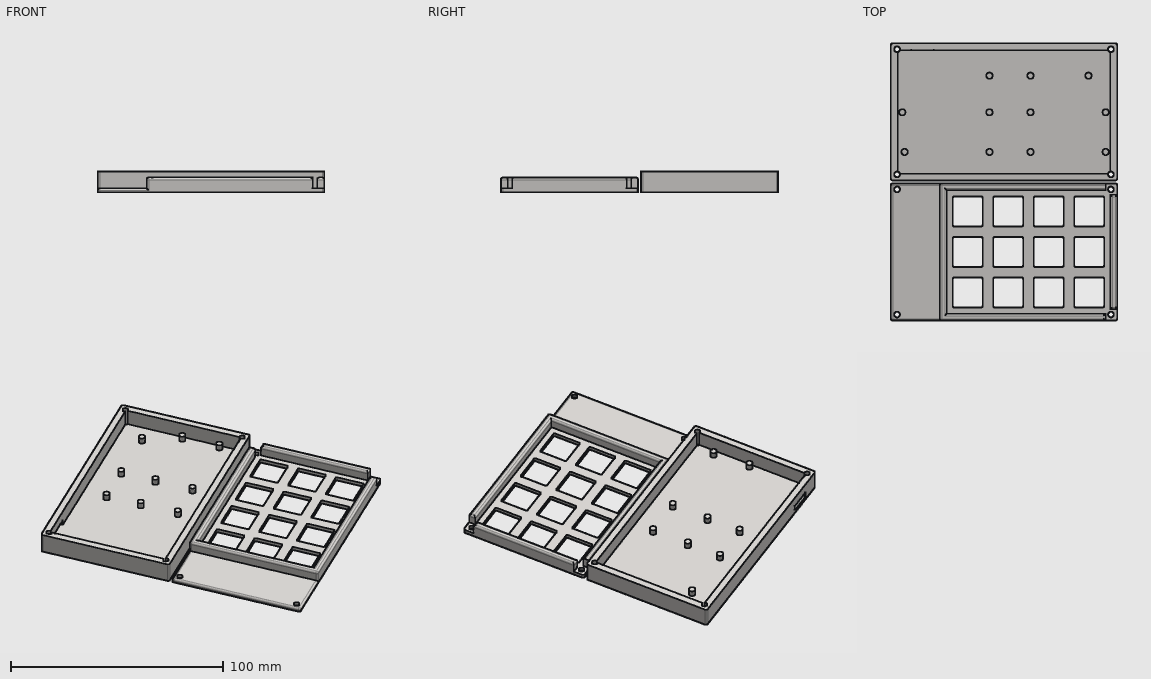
import cadquery as cq

LENGTH = 106.9
OVERALL_Y = 130.8
WIDTH = 64.8
CASE_Y = OVERALL_Y - WIDTH
EDGE_RADIUS = 1.0

END_WALL = 3.4
SIDE_WALL = 3.3

SCREW_DIAMETER = 2.6
SCREW_INSET_X = 3.0
SCREW_INSET_Y = 2.9

CASE_HEIGHT = 10.0
CASE_FLOOR = 2.0
PIN_DIAMETER = 3.0
PIN_HEIGHT = 3.0
PIN_ROW_BOTTOM = 13.5
PIN_ROW_MIDDLE = 32.2
PIN_ROW_TOP = 49.5
PIN_COLUMN_A = 46.6
PIN_COLUMN_B = 66.0
PIN_COLUMN_RIGHT = 101.4
PIN_TOP_RIGHT_X = 93.3
PIN_MIDDLE_LEFT_X = 5.5
PIN_BOTTOM_LEFT_X = 6.5

PORT_LEFT = 9.8
PORT_RIGHT = 20.3
PORT_HEIGHT = 2.6

PLATE_THICKNESS = 2 * EDGE_RADIUS
COVER_HEIGHT = 7.0
FRAME_LEFT = 23.0
NOTCH_X = 5.5
NOTCH_Y = 5.4

KEY_COLUMNS = 4
KEY_ROWS = 3
KEY_PITCH = 19.1
KEY_SIZE = 14.0
KEY_CORNER_RADIUS = 0.5


def block(x_min, x_max, y_min, y_max, z_min, z_max):
    """Box given by its limits along each axis."""
    size = (x_max - x_min, y_max - y_min, z_max - z_min)
    return cq.Workplane("XY").box(*size, centered=False).translate((x_min, y_min, z_min))


def screw_holes(height):
    """Cutters for the four corner screws of a body that starts at the origin."""
    corners = [
        (x, y)
        for x in (SCREW_INSET_X, LENGTH - SCREW_INSET_X)
        for y in (SCREW_INSET_Y, WIDTH - SCREW_INSET_Y)
    ]
    return cq.Workplane("XY").pushPoints(corners).circle(SCREW_DIAMETER / 2).extrude(height)


def make_case():
    """Open tray with support pins on its floor and a cable opening in its +Y wall."""
    case = block(0, LENGTH, 0, WIDTH, 0, CASE_HEIGHT).edges("|Z").fillet(EDGE_RADIUS)
    case = case.cut(
        block(END_WALL, LENGTH - END_WALL, SIDE_WALL, WIDTH - SIDE_WALL, CASE_FLOOR, CASE_HEIGHT)
    )
    case = case.cut(
        block(PORT_LEFT, PORT_RIGHT, WIDTH - SIDE_WALL, WIDTH, CASE_FLOOR, CASE_FLOOR + PORT_HEIGHT)
    )

    pin_rows = (PIN_ROW_BOTTOM, PIN_ROW_MIDDLE, PIN_ROW_TOP)
    pin_centers = [(x, y) for x in (PIN_COLUMN_A, PIN_COLUMN_B) for y in pin_rows]
    pin_centers += [
        (PIN_TOP_RIGHT_X, PIN_ROW_TOP),
        (PIN_MIDDLE_LEFT_X, PIN_ROW_MIDDLE),
        (PIN_COLUMN_RIGHT, PIN_ROW_MIDDLE),
        (PIN_BOTTOM_LEFT_X, PIN_ROW_BOTTOM),
        (PIN_COLUMN_RIGHT, PIN_ROW_BOTTOM),
    ]
    pins = (
        cq.Workplane("XY")
        .pushPoints(pin_centers)
        .circle(PIN_DIAMETER / 2)
        .extrude(CASE_FLOOR + PIN_HEIGHT)
    )
    case = case.union(pins).cut(screw_holes(CASE_HEIGHT))
    return case.translate((0, CASE_Y, 0))


def make_plate():
    """Base plate of the cover, its top rim rounded on the part left of the key frame."""
    plate = block(0, LENGTH, 0, WIDTH, 0, PLATE_THICKNESS).edges("|Z").fillet(EDGE_RADIUS)
    rounded = plate.faces(">Z").edges().fillet(EDGE_RADIUS)
    left_part = block(0, FRAME_LEFT + END_WALL, 0, WIDTH, 0, PLATE_THICKNESS)
    return plate.cut(left_part).union(rounded.intersect(left_part))


def make_key_frame():
    """Raised wall around the keys, open at the two screw corners, with a rounded rim."""
    frame = block(FRAME_LEFT, LENGTH, 0, WIDTH, 0, COVER_HEIGHT)
    frame = frame.edges("|Z and <X").fillet(EDGE_RADIUS)
    frame = frame.cut(
        block(
            FRAME_LEFT + END_WALL, LENGTH - END_WALL,
            SIDE_WALL, WIDTH - SIDE_WALL,
            0, COVER_HEIGHT,
        )
    )
    notch_left = LENGTH - NOTCH_X
    frame = frame.cut(block(notch_left, LENGTH, 0, NOTCH_Y, 0, COVER_HEIGHT))
    frame = frame.cut(block(notch_left, LENGTH, WIDTH - NOTCH_Y, WIDTH, 0, COVER_HEIGHT))

    back_wall_end = cq.selectors.BoxSelector(
        (notch_left - EDGE_RADIUS, WIDTH - SIDE_WALL, 0),
        (notch_left + EDGE_RADIUS, WIDTH, COVER_HEIGHT + EDGE_RADIUS),
    )
    return frame.faces(">Z").edges(-back_wall_end).fillet(EDGE_RADIUS)


def key_windows():
    """Cutters for the grid of key windows, centred inside the frame."""
    grid_x = (FRAME_LEFT + LENGTH) / 2
    return (
        cq.Workplane("XY")
        .center(grid_x, WIDTH / 2)
        .rarray(KEY_PITCH, KEY_PITCH, KEY_COLUMNS, KEY_ROWS)
        .rect(KEY_SIZE, KEY_SIZE)
        .extrude(PLATE_THICKNESS)
        .edges("|Z")
        .fillet(KEY_CORNER_RADIUS)
    )


def make_cover():
    """Plate with the key frame on top, pierced by key windows and screw holes."""
    cover = make_plate().union(make_key_frame())
    return cover.cut(key_windows()).cut(screw_holes(COVER_HEIGHT))


case = make_case()
cover = make_cover()

result = cq.Compound.makeCompound([case.solids().val(), cover.solids().val()])